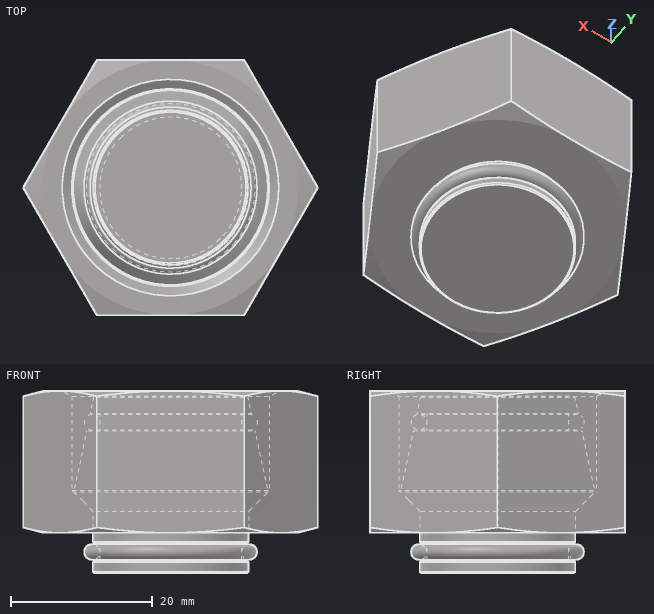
import cadquery as cq
import math

across_corners = 41.55
across_flats = across_corners * math.cos(math.radians(30))
nut_height = 20.0
nut_bottom = 5.7
nut_top = nut_bottom + nut_height
corner_bevel_angle = 15.0
bore_diameter = 27.85
mouth_diameter = 30.5
mouth_angle = 30.0

spigot_diameter = 22.0
edge_chamfer = 0.2
nose_top = nut_top - 0.7
nose_radius = 10.85
nose_half_angle = 12.0
shoulder_radius = 13.7
seat_angle = 45.0

groove_width = 2.5
ring_section = 2.2
groove_diameter = 20.0
lower_groove_bottom = 1.75
groove_edge_chamfer = 0.15
upper_groove_depth = 2.4

nose_slope = math.tan(math.radians(nose_half_angle))
shoulder_z = nose_top - (shoulder_radius - nose_radius) / nose_slope
spigot_radius = spigot_diameter / 2
seat_slope = math.tan(math.radians(seat_angle))
seat_end_z = shoulder_z - (shoulder_radius - spigot_radius) * seat_slope
lower_groove_top = lower_groove_bottom + groove_width
lower_ring_z = lower_groove_bottom + groove_width / 2
upper_groove_top = nose_top - upper_groove_depth
upper_groove_bottom = upper_groove_top - groove_width
upper_ring_z = upper_groove_top - groove_width / 2
groove_floor_radius = groove_diameter / 2
ring_center_radius = groove_floor_radius + ring_section / 2


def revolve_profile(points):
    """Revolve a closed (radius, z) outline around the Z axis."""
    return cq.Workplane("XZ").polyline(points).close().revolve(360, (0, 0), (0, 1))


def nose_radius_at(z):
    """Radius of the tapered nose at height z."""
    return nose_radius + (nose_top - z) * nose_slope


def make_nut():
    hexagon = (
        cq.Workplane("XY")
        .workplane(offset=nut_bottom)
        .polygon(6, across_corners)
        .extrude(nut_height)
    )

    face_radius = across_flats / 2
    corner_radius = across_corners / 2
    bevel_drop = (corner_radius - face_radius) * math.tan(math.radians(corner_bevel_angle))
    bevel_envelope = revolve_profile([
        (0, nut_bottom),
        (face_radius, nut_bottom),
        (corner_radius, nut_bottom + bevel_drop),
        (corner_radius, nut_top - bevel_drop),
        (face_radius, nut_top),
        (0, nut_top),
    ])

    bore_radius = bore_diameter / 2
    mouth_radius = mouth_diameter / 2
    mouth_depth = (mouth_radius - bore_radius) * math.tan(math.radians(mouth_angle))
    seat_top = seat_end_z + (bore_radius - spigot_radius) * seat_slope
    opening = revolve_profile([
        (0, nut_bottom),
        (spigot_radius, nut_bottom),
        (spigot_radius, seat_end_z),
        (bore_radius, seat_top),
        (bore_radius, nut_top - mouth_depth),
        (mouth_radius, nut_top),
        (0, nut_top),
    ])
    return hexagon.intersect(bevel_envelope).cut(opening)


def make_plug():
    return revolve_profile([
        (0, 0),
        (spigot_radius - edge_chamfer, 0),
        (spigot_radius, edge_chamfer),
        (spigot_radius, lower_groove_bottom - groove_edge_chamfer),
        (spigot_radius - groove_edge_chamfer, lower_groove_bottom),
        (groove_floor_radius, lower_groove_bottom),
        (groove_floor_radius, lower_groove_top),
        (spigot_radius - groove_edge_chamfer, lower_groove_top),
        (spigot_radius, lower_groove_top + groove_edge_chamfer),
        (spigot_radius, seat_end_z),
        (shoulder_radius, shoulder_z),
        (nose_radius_at(upper_groove_bottom), upper_groove_bottom),
        (groove_floor_radius, upper_groove_bottom),
        (groove_floor_radius, upper_groove_top),
        (nose_radius_at(upper_groove_top), upper_groove_top),
        (nose_radius_at(nose_top - edge_chamfer), nose_top - edge_chamfer),
        (nose_radius - edge_chamfer, nose_top),
        (0, nose_top),
    ])


def make_sealing_ring(center_z):
    return (
        cq.Workplane("XZ")
        .center(ring_center_radius, center_z)
        .circle(ring_section / 2)
        .revolve(360, (-ring_center_radius, 0), (-ring_center_radius, 1))
    )


nut = make_nut()
plug = make_plug()
sealing_rings = [make_sealing_ring(z) for z in (lower_ring_z, upper_ring_z)]

result = cq.Compound.makeCompound([nut.val(), plug.val(), *[ring.val() for ring in sealing_rings]])